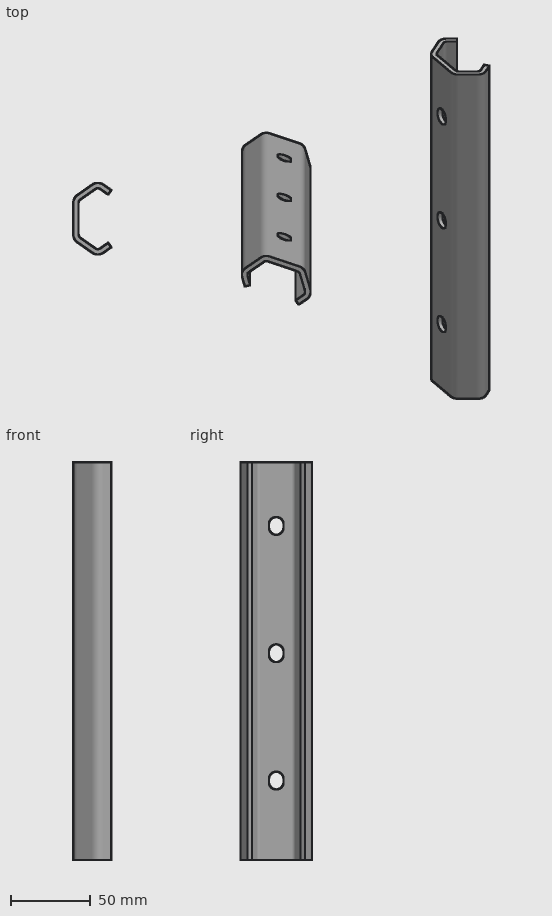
import cadquery as cq
import math

length = 250.0
depth = 24.0
width = 45.15

thickness = 3.5
outer_radius = 6.0
inner_radius = outer_radius - thickness
slope = math.radians(35.0)
apex_x = 15.5

slot_width = 9.0
slot_length = 11.0
slot_pitch = 80.0
slot_count = 3
first_slot_z = 50.0

apex_y = width / 2 + outer_radius * (1 / math.cos(slope) - 1)
web_y = apex_y - apex_x * math.tan(slope)
lip_y = apex_y - (depth - apex_x) * math.tan(slope)

web_bend_angle = math.pi / 2 - slope
inner_web_y = web_y - thickness * math.tan(web_bend_angle / 2)
inner_apex_y = apex_y - thickness / math.cos(slope)
inner_lip_x = depth - thickness * math.sin(slope)
inner_lip_y = lip_y - thickness * math.cos(slope)

outer_bends = [(0, web_y), (apex_x, apex_y)]
lip_end = [(depth, lip_y), (inner_lip_x, inner_lip_y)]
inner_bends = [(apex_x, inner_apex_y), (thickness, inner_web_y)]


def mirrored(points):
    """Reflect points across Y = 0, keeping their order."""
    return [(x, -y) for x, y in points]


def round_bends(body, bends, radius):
    """Fillet the full-length edges standing at the given corners and their mirror images."""
    for x, y in bends + mirrored(bends):
        bend_edge = cq.selectors.NearestToPointSelector((x, y, length / 2))
        body = body.edges("|Z").edges(bend_edge).fillet(radius)
    return body


def make_channel():
    """Sharp-cornered profile extruded along Z, then rounded at every bend."""
    half_outline = outer_bends + lip_end + inner_bends
    outline = half_outline + mirrored(half_outline[::-1])
    body = cq.Workplane("XY").polyline(outline).close().extrude(length)
    body = round_bends(body, outer_bends, outer_radius)
    return round_bends(body, inner_bends, inner_radius)


def make_slots():
    """Row of slot cutters, just deep enough to pass through the web."""
    middle_slot_z = first_slot_z + (slot_count - 1) * slot_pitch / 2
    return (
        cq.Workplane("YZ")
        .center(0, middle_slot_z)
        .rarray(slot_width, slot_pitch, 1, slot_count)
        .slot2D(slot_length, slot_width, 90)
        .extrude(thickness)
    )


result = make_channel().cut(make_slots())